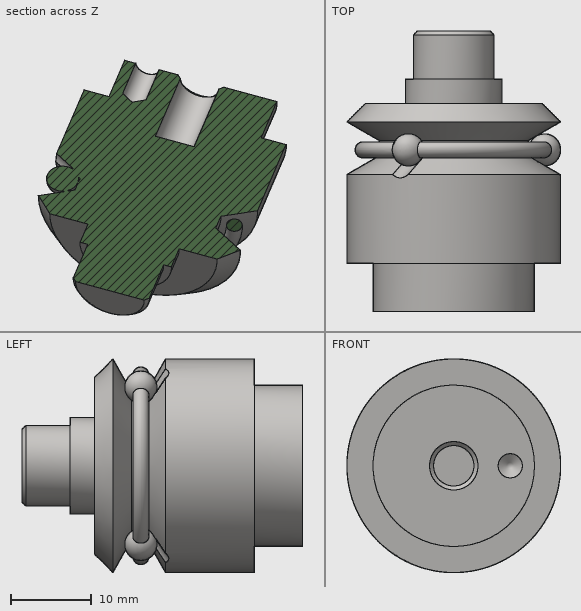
import cadquery as cq
import math

total_length = 34.8
body_radius = 13.25
stub_radius = 10.0
stub_length = 6.0
barrel_length = 11.0

collar_radius = 6.0
collar_length = 3.0
pin_radius = 5.0
pin_length = 6.0
pin_chamfer = 0.5

ball_radius = 2.0
ball_count = 3
ball_spacing = 360 / ball_count
ball_angles = [i * ball_spacing for i in range(ball_count)]
ball_circle_radius = body_radius - ball_radius
ring_tube_radius = 1.0

wall_angle = math.radians(30)
wall_slope = math.tan(wall_angle)
track_depth = 0.36
groove_floor_radius = 9.25

thread_hole_radius = 2.5
countersink_radius = 3.0
thread_hole_depth = 10.0
locating_hole_radius = 1.5
locating_hole_depth = 5.0
locating_hole_offset = 7.0
drill_tip_angle = math.radians(118)

flange_wall_rise = ball_radius / math.cos(wall_angle) + ball_radius * wall_slope
barrel_wall_rise = flange_wall_rise - track_depth / math.cos(wall_angle)
floor_drop = (body_radius - groove_floor_radius) * wall_slope

barrel_end = stub_length + barrel_length
ball_plane = barrel_end + barrel_wall_rise
flange_rim = ball_plane + flange_wall_rise
flange_end = total_length - pin_length - collar_length
collar_end = flange_end + collar_length

flange_end_radius = body_radius - (flange_end - flange_rim)


def turned(points):
    """Revolve a closed outline of (radius, Y) points about the Y axis."""
    return cq.Workplane("XY").polyline(points).close().revolve(360, (0, 0, 0), (0, 1, 0))


def turn_to(shape, angle):
    """Turn a shape about the Y axis, from the +X side towards +Z."""
    return shape.rotate((0, 0, 0), (0, 1, 0), -angle)


def make_ball(angle):
    ball = cq.Workplane("XY").sphere(ball_radius)
    return turn_to(ball.translate((ball_circle_radius, ball_plane, 0)), angle)


def make_threaded_hole():
    countersink_depth = countersink_radius - thread_hole_radius
    return turned([
        (0, 0),
        (countersink_radius, 0),
        (thread_hole_radius, countersink_depth),
        (thread_hole_radius, thread_hole_depth),
        (0, thread_hole_depth),
    ])


def make_locating_hole():
    tip_length = locating_hole_radius / math.tan(drill_tip_angle / 2)
    hole = turned([
        (0, 0),
        (locating_hole_radius, 0),
        (locating_hole_radius, locating_hole_depth),
        (0, locating_hole_depth + tip_length),
    ])
    return hole.translate((locating_hole_offset, 0, 0))


def make_ball_track(angle):
    """Round track from a ball outwards, parallel to the barrel wall of the groove."""
    track_length = 3 * ball_radius
    seat = cq.Vector(ball_circle_radius, ball_plane, 0)
    outwards = cq.Vector(math.cos(wall_angle), -math.sin(wall_angle), 0)
    track = cq.Workplane(cq.Solid.makeCylinder(ball_radius, track_length, seat, outwards))
    return turn_to(track, angle).union(make_ball(angle))


def make_turned_body():
    return turned([
        (0, 0),
        (stub_radius, 0),
        (stub_radius, stub_length),
        (body_radius, stub_length),
        (body_radius, barrel_end),
        (groove_floor_radius, barrel_end + floor_drop),
        (groove_floor_radius, flange_rim - floor_drop),
        (body_radius, flange_rim),
        (flange_end_radius, flange_end),
        (collar_radius, flange_end),
        (collar_radius, collar_end),
        (pin_radius, collar_end),
        (pin_radius, total_length - pin_chamfer),
        (pin_radius - pin_chamfer, total_length),
        (0, total_length),
    ])


def make_housing():
    housing = make_turned_body().cut(make_threaded_hole()).cut(make_locating_hole())
    for angle in ball_angles:
        housing = housing.cut(make_ball_track(angle)).union(make_ball(angle))
    return housing


def make_ring_segment(angle):
    """Ring segment from the ball at this angle to the next one, ending on the two ball surfaces."""
    tube = cq.Workplane("XY").moveTo(ball_circle_radius, ball_plane).circle(ring_tube_radius)
    segment = tube.revolve(ball_spacing, (0, 0, 0), (0, -1, 0))
    return turn_to(segment, angle).cut(make_ball(angle)).cut(make_ball(angle + ball_spacing))


housing = make_housing()
ring_segments = [make_ring_segment(angle) for angle in ball_angles]

result = cq.Compound.makeCompound([housing.val(), *[segment.val() for segment in ring_segments]])